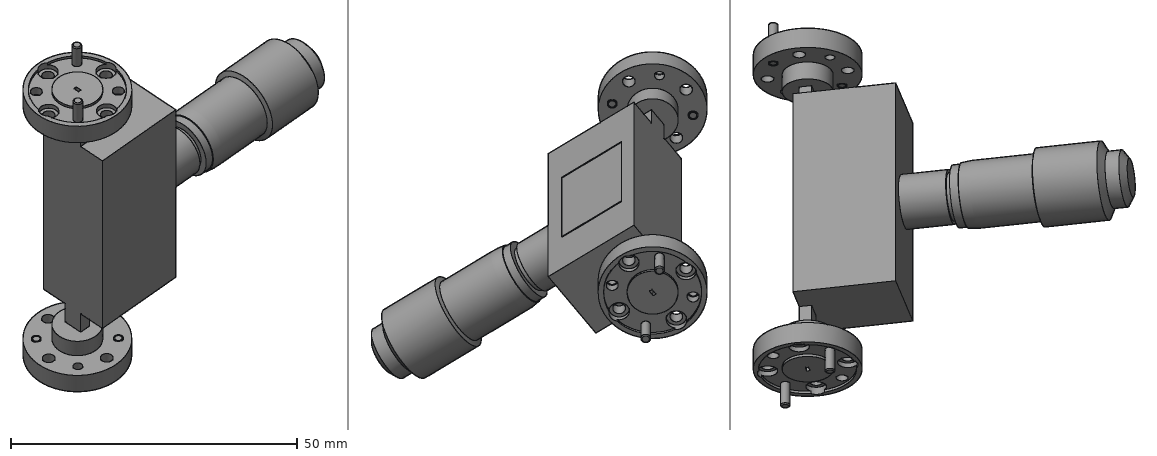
import cadquery as cq
import math


OVERALL_HEIGHT = 71.25
OVERALL_DEPTH = 67.25

FLANGE_FACE_Z = 31.6
FLANGE_DIAMETER = 19.0
FLANGE_THICKNESS = 3.9
HUB_DIAMETER = 8.9
HUB_LENGTH = 3.4
RECESS_DIAMETER = 17.1
RECESS_DEPTH = 0.5
HOLE_CIRCLE_DIAMETER = 14.3
SCREW_HOLE_DIAMETER = 2.2
SCREW_COUNTERBORE_DIAMETER = 3.55
SCREW_COUNTERBORE_DEPTH = 1.4
WAVEGUIDE_WIDTH = 1.15
WAVEGUIDE_HEIGHT = 0.6

PIN_DIAMETER = 1.7
PIN_CHAMFER = 0.2
MOUTH_DIAMETER = 2.1
MOUTH_DEPTH = 2.15
PIN_ANGLES = (135, 315)
FREE_HOLE_ANGLES = (45, 225)
SCREW_HOLE_ANGLES = (0, 90, 180, 270)

BLOCK_WIDTH = 14.4
BLOCK_HEIGHT = 39.9
BLOCK_BACK_Y = 17.25
NECK_WIDTH = 3.8
NECK_THICKNESS = 2.2

LABEL_HEIGHT = 19.25
LABEL_WIDTH = 12.75
LABEL_THICKNESS = 0.15
LABEL_CENTER_Y = 8.0

BASE_LENGTH = 8.4
GROOVE_LENGTH = 0.85
COLLAR_LENGTH = 1.6
ROUNDING_LENGTH = 2.15
SLEEVE_LENGTH = 11.1
THIMBLE_CHAMFER_LENGTH = 0.3
THIMBLE_LENGTH = 11.5
THIMBLE_CONE_LENGTH = 1.1
TIP_CONE_LENGTH = 1.15
BASE_RADIUS = 4.85
GROOVE_RADIUS = 4.3
COLLAR_RADIUS = 5.55
LIP_RADIUS = 5.8
SLEEVE_RADIUS = 6.0
THIMBLE_RADIUS = 7.0
KNOB_RADIUS = 5.05
TIP_RADIUS = 3.4

FLANGE_BACK_Z = FLANGE_FACE_Z - FLANGE_THICKNESS
HUB_END_Z = FLANGE_BACK_Z - HUB_LENGTH
RECESS_FLOOR_Z = FLANGE_FACE_Z - RECESS_DEPTH
PIN_TIP_Z = OVERALL_HEIGHT / 2
HOLE_CIRCLE_RADIUS = HOLE_CIRCLE_DIAMETER / 2
BLOCK_FRONT_Y = -NECK_THICKNESS / 2
BLOCK_DEPTH = BLOCK_BACK_Y - BLOCK_FRONT_Y
TIP_Y = OVERALL_DEPTH - FLANGE_DIAMETER / 2


def cylinder(diameter, bottom_z, top_z):
    return cq.Workplane("XY").workplane(offset=bottom_z).circle(diameter / 2).extrude(top_z - bottom_z)


def place_on_hole_circle(shape, angle):
    turn = math.radians(angle)
    return shape.translate((HOLE_CIRCLE_RADIUS * math.cos(turn), HOLE_CIRCLE_RADIUS * math.sin(turn), 0))


def turn_to_lower_end(shape):
    return shape.rotate((0, 0, 0), (1, 0, 0), 180)


def make_face_recess():
    """Ring-shaped recess between the rim of the flange and its central boss."""
    ring = cylinder(RECESS_DIAMETER, RECESS_FLOOR_Z, FLANGE_FACE_Z)
    return ring.cut(cylinder(HUB_DIAMETER, RECESS_FLOOR_Z, FLANGE_FACE_Z))


def make_screw_hole():
    hole = cylinder(SCREW_HOLE_DIAMETER, FLANGE_BACK_Z, FLANGE_FACE_Z)
    counterbore_floor_z = FLANGE_FACE_Z - SCREW_COUNTERBORE_DEPTH
    return hole.union(cylinder(SCREW_COUNTERBORE_DIAMETER, counterbore_floor_z, FLANGE_FACE_Z))


def make_free_dowel_hole():
    hole = cylinder(PIN_DIAMETER, FLANGE_BACK_Z, FLANGE_FACE_Z)
    return hole.union(cylinder(MOUTH_DIAMETER, FLANGE_FACE_Z - MOUTH_DEPTH, FLANGE_FACE_Z))


def make_waveguide_opening():
    face = cq.Workplane("XY").workplane(offset=FLANGE_FACE_Z)
    return face.rect(WAVEGUIDE_WIDTH, WAVEGUIDE_HEIGHT).extrude(-FLANGE_THICKNESS)


def make_upper_flange():
    flange = cylinder(FLANGE_DIAMETER, FLANGE_BACK_Z, FLANGE_FACE_Z)
    flange = flange.union(cylinder(HUB_DIAMETER, HUB_END_Z, FLANGE_BACK_Z))
    flange = flange.cut(make_face_recess()).cut(make_waveguide_opening())
    pin_hole = cylinder(PIN_DIAMETER, FLANGE_BACK_Z, FLANGE_FACE_Z)
    holes = (
        (make_screw_hole(), SCREW_HOLE_ANGLES),
        (make_free_dowel_hole(), FREE_HOLE_ANGLES),
        (pin_hole, PIN_ANGLES),
    )
    for hole, angles in holes:
        for angle in angles:
            flange = flange.cut(place_on_hole_circle(hole, angle))
    return flange


def make_label():
    label = cq.Workplane("XY").box(LABEL_THICKNESS, LABEL_WIDTH, LABEL_HEIGHT)
    return label.translate(((LABEL_THICKNESS - BLOCK_WIDTH) / 2, LABEL_CENTER_Y, 0))


def make_housing():
    """Block, necks and flanges in one piece, with a shallow pocket for the label."""
    block = cq.Workplane("XY").box(BLOCK_WIDTH, BLOCK_DEPTH, BLOCK_HEIGHT)
    block = block.translate((0, BLOCK_FRONT_Y + BLOCK_DEPTH / 2, 0))
    necks = cq.Workplane("XY").box(NECK_WIDTH, NECK_THICKNESS, 2 * HUB_END_Z)
    upper_flange = make_upper_flange()
    housing = block.union(necks).union(upper_flange).union(turn_to_lower_end(upper_flange))
    return housing.clean().cut(make_label())


def make_micrometer():
    """Revolved about the Y axis; its base stands on the back of the block."""
    base_end_y = BLOCK_BACK_Y + BASE_LENGTH
    groove_end_y = base_end_y + GROOVE_LENGTH
    collar_end_y = groove_end_y + COLLAR_LENGTH
    rounding_end_y = collar_end_y + ROUNDING_LENGTH
    sleeve_end_y = rounding_end_y + SLEEVE_LENGTH
    thimble_start_y = sleeve_end_y + THIMBLE_CHAMFER_LENGTH
    thimble_end_y = thimble_start_y + THIMBLE_LENGTH
    knob_start_y = thimble_end_y + THIMBLE_CONE_LENGTH
    knob_end_y = TIP_Y - TIP_CONE_LENGTH
    rounding_drop = SLEEVE_RADIUS - LIP_RADIUS
    rounding_middle = (SLEEVE_RADIUS - rounding_drop / 4, rounding_end_y - ROUNDING_LENGTH / 2)
    profile = (
        cq.Workplane("XY")
        .moveTo(0, BLOCK_BACK_Y)
        .lineTo(BASE_RADIUS, BLOCK_BACK_Y)
        .lineTo(BASE_RADIUS, base_end_y)
        .lineTo(GROOVE_RADIUS, base_end_y)
        .lineTo(GROOVE_RADIUS, groove_end_y)
        .lineTo(COLLAR_RADIUS, groove_end_y)
        .lineTo(COLLAR_RADIUS, collar_end_y)
        .lineTo(LIP_RADIUS, collar_end_y)
        .threePointArc(rounding_middle, (SLEEVE_RADIUS, rounding_end_y))
        .lineTo(SLEEVE_RADIUS, sleeve_end_y)
        .lineTo(THIMBLE_RADIUS, thimble_start_y)
        .lineTo(THIMBLE_RADIUS, thimble_end_y)
        .lineTo(KNOB_RADIUS, knob_start_y)
        .lineTo(KNOB_RADIUS, knob_end_y)
        .lineTo(TIP_RADIUS, TIP_Y)
        .lineTo(0, TIP_Y)
        .close()
    )
    return profile.revolve(360, (0, 0, 0), (0, 1, 0))


def make_upper_pin(angle):
    """Dowel pin that fills its hole and stands out of the flange face."""
    pin = cylinder(PIN_DIAMETER, FLANGE_BACK_Z, PIN_TIP_Z)
    pin = pin.faces("<Z or >Z").chamfer(PIN_CHAMFER)
    return place_on_hole_circle(pin, angle)


housing = make_housing()
micrometer = make_micrometer()
label = make_label()
upper_pins = [make_upper_pin(angle) for angle in PIN_ANGLES]
lower_pins = [turn_to_lower_end(pin) for pin in upper_pins]

result = cq.Compound.makeCompound(
    [housing.val(), micrometer.val(), label.val(), *[pin.val() for pin in upper_pins + lower_pins]]
)